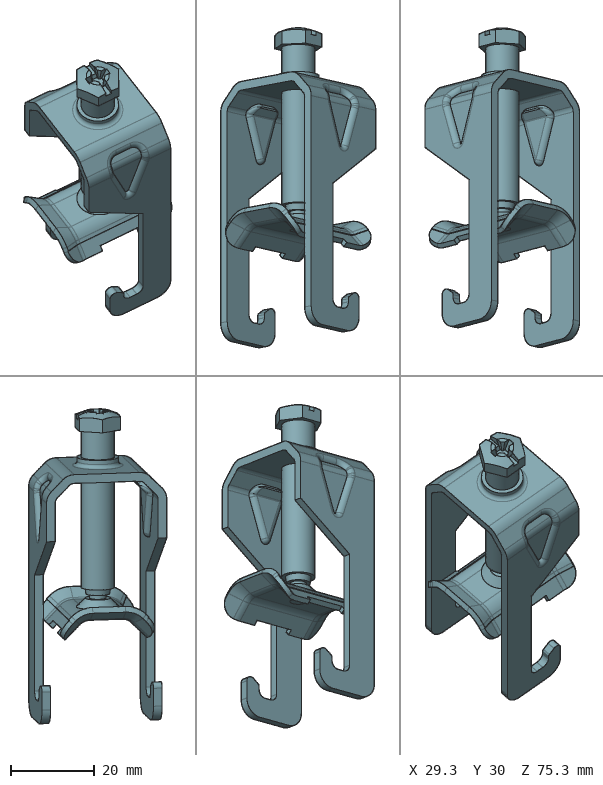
import cadquery as cq
import math

OVERLAP = 1.0

bracket_half_width = 29.29 / 2
bracket_height = 62.1
bracket_depth = 23.0
sheet = 2.145
shoulder = 5.12
bend_radius = 3.85
leg_back = bracket_depth / 2
leg_front = 3.74
cheek_bottom = 46.0
cheek_slant_end = 35.2
hook_front = -5.55
hook_corner_radius = 4.0
slot_front = -1.7
slot_floor = 5.2
slot_radius = 1.8
hook_lip = 8.15
hook_lip_radius = 0.7
hook_tip_radius = 1.3

press_depth = 1.36
pocket_half_width = 4.15
pocket_kink = 55.5
pocket_point = 43.9
pocket_point_radius = 0.55
pocket_kink_radius = 2.0
pocket_corner_radius = 2.1
pocket_top_z = 58.3
ridge_growth = 0.8
press_radius = 1.33

collar_diameter = 10.0
collar_height = 2.0
collar_fillet = 1.0

screw_top = 75.31
head_bottom = 70.95
head_flats = 10.0
head_flat_top_diameter = 5.5
head_cone_drop = 1.2
screw_diameter = 8.0
screw_end = 32.4
tip_diameter = 6.2
tip_end_diameter = 5.7
tip_end = 30.85
neck_diameter = 4.0
slot_width = 1.5
slot_depth = 1.9
cross_width = 1.6
cross_half_length = 3.0
cross_bottom_half_length = 1.6
cross_depth = 2.9
cross_core_diameter = 3.4
cross_core_bottom_diameter = 2.6

saddle_top = 27.8
saddle_sheet = 1.5
saddle_flat_half_width = 4.0
saddle_bend_radius = 4.8
saddle_bend_angle = 45.0
saddle_leg = 5.1
leg_step_start = 1.0
leg_step = 0.2
saddle_half_length = 15.0
flare_start = 9.9
flare_angle = 32.0
flare_bend_radius = 1.8
saddle_corner_radius = 4.0
notch_half_length = 5.3
notch_depth = 1.4
boss_top = 29.8
boss_top_diameter = 6.0
boss_base_diameter = 10.4


def round_edge(body, point, radius):
    """Round the edge nearest to the point, with any smooth run of edges it belongs to."""
    return body.edges(cq.selectors.NearestToPointSelector(point)).fillet(radius)


def arch(inset):
    """Solid block bounded by the bracket surface, moved inwards by inset."""
    half_width = bracket_half_width - inset
    top = bracket_height - inset
    cut = shoulder - inset * (2 - math.sqrt(2))
    outline = [
        (-half_width, 0),
        (half_width, 0),
        (half_width, top - cut),
        (half_width - cut, top),
        (cut - half_width, top),
        (-half_width, top - cut),
    ]
    block = cq.Workplane("XZ").polyline(outline).close().extrude(bracket_depth / 2, both=True)
    return block.edges("|Y and (not <Z)").fillet(bend_radius - inset)


def bracket_side():
    """Side outline of the bracket, extruded across its full width."""
    slope = (cheek_bottom - cheek_slant_end) / (leg_back + leg_front)
    hook_tip = hook_lip + slope * (slot_front - hook_front)
    outline = [
        (leg_back, 0),
        (leg_back, bracket_height),
        (-leg_back, bracket_height),
        (-leg_back, cheek_bottom),
        (leg_front, cheek_slant_end),
        (leg_front, slot_floor),
        (slot_front, slot_floor),
        (slot_front, hook_lip),
        (hook_front, hook_tip),
        (hook_front, 0),
    ]
    side = cq.Workplane("YZ").polyline(outline).close().extrude(bracket_half_width + OVERLAP, both=True)

    rounded_corners = [
        (leg_back, 0, hook_corner_radius),
        (hook_front, 0, hook_corner_radius),
        (leg_front, slot_floor, slot_radius),
        (slot_front, slot_floor, slot_radius),
        (slot_front, hook_lip, hook_lip_radius),
        (hook_front, hook_tip, hook_tip_radius),
    ]
    for y, z, radius in rounded_corners:
        side = round_edge(side, (0, y, z), radius)
    return side


def pocket_prism(growth):
    """Rounded V prism on the +X side, grown all round, its top square to the shoulder."""
    half_angle = math.atan2(pocket_half_width, pocket_kink - pocket_point)
    half_width = pocket_half_width + growth
    kink = pocket_kink - growth * math.tan(half_angle / 2)
    point = pocket_point - growth / math.sin(half_angle)
    inner_x = bracket_half_width - shoulder
    outer_x = bracket_half_width + OVERLAP
    v_outline = [
        (half_width, bracket_height),
        (half_width, kink),
        (0, point),
        (-half_width, kink),
        (-half_width, bracket_height),
    ]
    v_prism = (
        cq.Workplane("YZ")
        .workplane(offset=inner_x)
        .polyline(v_outline)
        .close()
        .extrude(outer_x - inner_x)
    )
    v_prism = v_prism.edges("|X").edges("<Z").fillet(pocket_point_radius + growth)
    for y in (half_width, -half_width):
        kink_edge_center = ((inner_x + outer_x) / 2, y, kink)
        v_prism = round_edge(v_prism, kink_edge_center, pocket_kink_radius + growth)

    shoulder_sum = bracket_half_width + bracket_height - shoulder
    top_x = shoulder_sum - press_depth * math.sqrt(2) - pocket_top_z
    top_plane = cq.Plane(origin=(top_x, 0, pocket_top_z), xDir=(0, 1, 0), normal=(1, 0, 1))
    top_length = bracket_height
    top_block = (
        cq.Workplane(top_plane)
        .center(0, growth - top_length / 2)
        .rect(2 * half_width, top_length)
        .extrude(top_length, both=True)
    )
    top_face = top_block.faces(cq.selectors.DirectionMinMaxSelector(top_plane.yDir))
    corners = top_face.edges(cq.selectors.ParallelDirSelector(top_plane.zDir))
    return v_prism.intersect(corners.fillet(pocket_corner_radius + growth))


def make_bracket():
    body = arch(0).cut(arch(sheet)).intersect(bracket_side())
    ridge_shell = arch(sheet - OVERLAP / 2).cut(arch(sheet + press_depth))
    ridge = ridge_shell.intersect(pocket_prism(ridge_growth))
    pocket = arch(-OVERLAP).cut(arch(press_depth)).intersect(pocket_prism(0))
    for x_sign in (1, -1):
        if x_sign < 0:
            ridge = ridge.mirror("YZ")
            pocket = pocket.mirror("YZ")
        body = body.union(ridge).cut(pocket)
        ridge_x = bracket_half_width - sheet - press_depth
        ridge_point = (x_sign * ridge_x, 0, pocket_point)
        body = round_edge(body, ridge_point, press_radius)
        lip_point = (x_sign * (bracket_half_width + OVERLAP), 0, pocket_point)
        body = round_edge(body, lip_point, press_radius)
    collar_base = bracket_height - sheet / 2
    collar_radius = collar_diameter / 2
    collar = (
        cq.Workplane("XZ")
        .moveTo(0, collar_base)
        .lineTo(collar_radius + collar_fillet, collar_base)
        .lineTo(collar_radius + collar_fillet, bracket_height)
        .radiusArc((collar_radius, bracket_height + collar_fillet), collar_fillet)
        .lineTo(collar_radius, bracket_height + collar_height)
        .lineTo(0, bracket_height + collar_height)
        .close()
        .revolve(360, (0, 0), (0, 1))
    )
    hole = (
        cq.Workplane("XY")
        .workplane(offset=bracket_height - sheet - OVERLAP)
        .circle(screw_diameter / 2)
        .extrude(sheet + collar_height + 2 * OVERLAP)
    )
    return body.union(collar).cut(hole)


def cross_recess():
    """Tapered cross arms around a tapered round core."""
    arm = (
        cq.Workplane("XZ")
        .polyline([
            (-cross_half_length, screw_top),
            (cross_half_length, screw_top),
            (cross_bottom_half_length, screw_top - cross_depth),
            (-cross_bottom_half_length, screw_top - cross_depth),
        ])
        .close()
        .extrude(cross_width / 2, both=True)
    )
    core = (
        cq.Workplane("XY")
        .workplane(offset=screw_top - cross_depth)
        .circle(cross_core_bottom_diameter / 2)
        .workplane(offset=cross_depth)
        .circle(cross_core_diameter / 2)
        .loft()
    )
    return arm.union(arm.rotate((0, 0, 0), (0, 0, 1), 90)).union(core)


def make_screw():
    corner_radius = head_flats / math.sqrt(3)
    head = (
        cq.Workplane("XY")
        .workplane(offset=head_bottom)
        .polygon(6, 2 * corner_radius)
        .extrude(screw_top - head_bottom)
        .rotate((0, 0, 0), (0, 0, 1), 90)
    )
    head_cone = (
        cq.Workplane("XZ")
        .polyline([
            (0, head_bottom),
            (corner_radius, head_bottom),
            (corner_radius, screw_top - head_cone_drop),
            (head_flat_top_diameter / 2, screw_top),
            (0, screw_top),
        ])
        .close()
        .revolve(360, (0, 0), (0, 1))
    )
    shank = (
        cq.Workplane("XZ")
        .polyline([
            (0, head_bottom + OVERLAP),
            (screw_diameter / 2, head_bottom + OVERLAP),
            (screw_diameter / 2, screw_end),
            (tip_diameter / 2, screw_end),
            (tip_end_diameter / 2, tip_end),
            (neck_diameter / 2, tip_end),
            (neck_diameter / 2, saddle_top - saddle_sheet),
            (0, saddle_top - saddle_sheet),
        ])
        .close()
        .revolve(360, (0, 0), (0, 1))
    )
    driver_slot = (
        cq.Workplane("XY")
        .workplane(offset=screw_top - slot_depth)
        .rect(2 * head_flats, slot_width)
        .extrude(slot_depth)
    )
    return head.intersect(head_cone).union(shank).cut(driver_slot).cut(cross_recess())


def saddle_section(top_inset):
    """Lengthwise section of the saddle sheet: flat, with both ends bent up into flares.

    The upper side is lowered by top_inset while the underside stays in place.
    """
    angle = math.radians(flare_angle)
    lower_radius = flare_bend_radius + saddle_sheet
    upper_radius = flare_bend_radius + top_inset
    bend_center_z = saddle_top + flare_bend_radius

    def bend_point(radius, turn):
        return (flare_start + radius * math.sin(turn), bend_center_z - radius * math.cos(turn))

    upper_mid = bend_point(upper_radius, angle / 2)
    upper_end = bend_point(upper_radius, angle)
    lower_mid = bend_point(lower_radius, angle / 2)
    lower_end = bend_point(lower_radius, angle)
    run = saddle_half_length - lower_end[0]
    rise = run * math.tan(angle)
    lower_tip = (lower_end[0] + run, lower_end[1] + rise)
    upper_tip = (upper_end[0] + run, upper_end[1] + rise)
    half = (
        cq.Workplane("YZ")
        .moveTo(0, saddle_top - top_inset)
        .lineTo(flare_start, saddle_top - top_inset)
        .threePointArc(upper_mid, upper_end)
        .lineTo(*upper_tip)
        .lineTo(*lower_tip)
        .lineTo(*lower_end)
        .threePointArc(lower_mid, (flare_start, saddle_top - saddle_sheet))
        .lineTo(0, saddle_top - saddle_sheet)
    )
    return half.mirrorY()


def on_leg(body):
    """Move a body from the flat part of the saddle to its place past the bend on the +X side."""
    bend_axis_z = saddle_top - saddle_bend_radius
    axis_start = (saddle_flat_half_width, 0, bend_axis_z)
    axis_end = (saddle_flat_half_width, 1, bend_axis_z)
    return body.translate((saddle_flat_half_width, 0, 0)).rotate(axis_start, axis_end, saddle_bend_angle)


def make_saddle_half():
    bend_axis_z = saddle_top - saddle_bend_radius
    flat = saddle_section(0).extrude(saddle_flat_half_width)
    bend = (
        saddle_section(0)
        .revolve(saddle_bend_angle, (0, bend_axis_z), (1, bend_axis_z))
        .translate((saddle_flat_half_width, 0, 0))
    )
    leg_root = saddle_section(0).extrude(leg_step_start)
    leg = saddle_section(leg_step).extrude(saddle_leg)
    leg = leg.faces(">X").edges("<Y or >Y").fillet(saddle_corner_radius)
    notch = cq.Workplane("XY").box(2 * notch_depth, 2 * notch_half_length, 4 * saddle_sheet)
    leg = leg.cut(notch.translate((saddle_leg, 0, saddle_top)))
    return flat.union(bend).union(on_leg(leg_root.union(leg)))


def make_saddle():
    half = make_saddle_half()
    boss_drop = (boss_base_diameter - boss_top_diameter) / 2
    boss = (
        cq.Workplane("XY")
        .workplane(offset=boss_top - boss_drop)
        .circle(boss_base_diameter / 2)
        .workplane(offset=boss_drop)
        .circle(boss_top_diameter / 2)
        .loft()
    )
    hole = (
        cq.Workplane("XY")
        .workplane(offset=saddle_top - saddle_sheet - OVERLAP)
        .circle(neck_diameter / 2)
        .extrude(boss_top - saddle_top + saddle_sheet + 2 * OVERLAP)
    )
    return half.union(half.mirror("YZ")).union(boss).cut(hole)


bracket = make_bracket()
screw = make_screw()
saddle = make_saddle()

result = cq.Compound.makeCompound([body.solids().val() for body in (bracket, screw, saddle)])